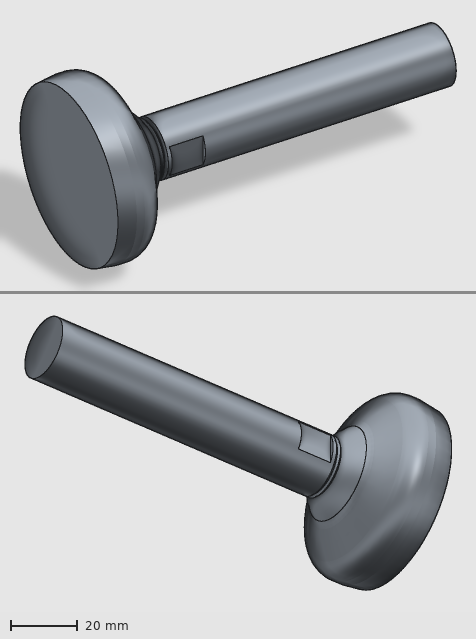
import cadquery as cq
import math

TOTAL_LENGTH = 128.0

FOOT_DIAMETER = 60.0
FOOT_RADIUS = FOOT_DIAMETER / 2
SOLE_RADIUS = 29.2
RIM_BOTTOM = 6.1
RIM_TOP = 9.0
SHOULDER_RADIUS = 7.3
SHOULDER_TOP = 15.5
BLEND_BOTTOM = 19.8
SEAT_HEIGHT = 21.4
SEAT_RADIUS = 15.2

DOME_CENTRE = 9.1
DOME_TOP = 26.4
COLLAR_EDGE_HEIGHT = 27.1
COLLAR_TOP = 27.6
COLLAR_TOP_RADIUS = 9.1
NECK_RADIUS = 7.8
ROD_BOTTOM = 28.5
ROD_RADIUS = 10.0
FLATS_BOTTOM = 29.8
FLATS_LENGTH = 11.5
ACROSS_FLATS = 17.0

DOME_RADIUS = math.hypot(SEAT_RADIUS, SEAT_HEIGHT - DOME_CENTRE)


def dome_radius_at(height):
    """Distance from the axis to the dome surface at a given height."""
    return math.sqrt(DOME_RADIUS**2 - (height - DOME_CENTRE)**2)


def revolve_about_y(outline):
    """Close an outline drawn in the XY plane and turn it about the Y axis."""
    return outline.close().revolve(360, (0, 0), (0, 1))


def make_foot():
    turn = math.asin((SHOULDER_TOP - RIM_TOP) / SHOULDER_RADIUS)
    shoulder_top_radius = FOOT_RADIUS - SHOULDER_RADIUS * (1 - math.cos(turn))
    blend_bottom_radius = shoulder_top_radius - (BLEND_BOTTOM - SHOULDER_TOP) * math.tan(turn)
    outline = (
        cq.Workplane("XY")
        .lineTo(SOLE_RADIUS, 0)
        .lineTo(FOOT_RADIUS, RIM_BOTTOM)
        .lineTo(FOOT_RADIUS, RIM_TOP)
        .tangentArcPoint((shoulder_top_radius, SHOULDER_TOP), relative=False)
        .lineTo(blend_bottom_radius, BLEND_BOTTOM)
        .tangentArcPoint((SEAT_RADIUS, SEAT_HEIGHT), relative=False)
        .lineTo(0, SEAT_HEIGHT)
    )
    return revolve_about_y(outline)


def make_turned_spindle():
    dome_middle = (SEAT_HEIGHT + DOME_TOP) / 2
    outline = (
        cq.Workplane("XY")
        .moveTo(0, SEAT_HEIGHT)
        .lineTo(SEAT_RADIUS, SEAT_HEIGHT)
        .threePointArc((dome_radius_at(dome_middle), dome_middle), (dome_radius_at(DOME_TOP), DOME_TOP))
        .lineTo(ROD_RADIUS, COLLAR_EDGE_HEIGHT)
        .lineTo(COLLAR_TOP_RADIUS, COLLAR_TOP)
        .lineTo(NECK_RADIUS, COLLAR_TOP)
        .lineTo(NECK_RADIUS, ROD_BOTTOM)
        .lineTo(ROD_RADIUS, ROD_BOTTOM)
        .lineTo(ROD_RADIUS, TOTAL_LENGTH)
        .lineTo(0, TOTAL_LENGTH)
    )
    return revolve_about_y(outline)


def make_flat_cutter(side):
    """Block that removes the rod beyond one wrench flat; side is -1 or 1 along X."""
    block = cq.Workplane("XY").box(ROD_RADIUS, FLATS_LENGTH, 2 * ROD_RADIUS)
    offset = side * (ACROSS_FLATS + ROD_RADIUS) / 2
    return block.translate((offset, FLATS_BOTTOM + FLATS_LENGTH / 2, 0))


def make_spindle():
    spindle = make_turned_spindle()
    for side in (-1, 1):
        spindle = spindle.cut(make_flat_cutter(side))
    return spindle


foot = make_foot()
spindle = make_spindle()

result = cq.Compound.makeCompound([foot.val(), spindle.val()])